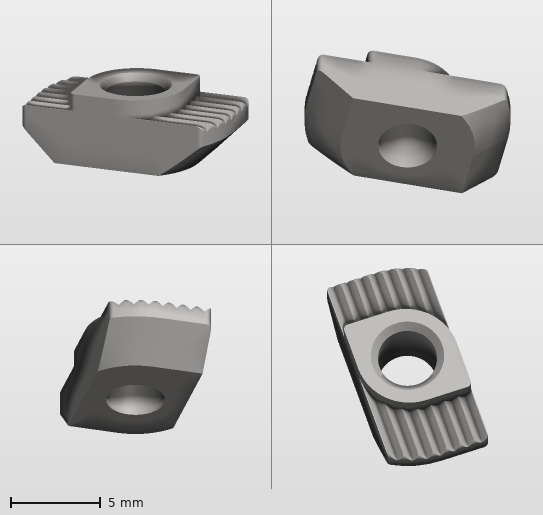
import cadquery as cq
import math

length = 11.5
width = 5.7
height = 4.2
boss_height = 1.0
wall_base = 2.0
corner_radius = 0.3
swing_corner_radius = 3.0

hole_radius = 1.65
countersink_radius = 2.05

valley_count = 7
edge_land = 0.05

flange_height = height - boss_height
end_radius = length / 2
half_width = width / 2
pitch = (width - 2 * edge_land) / valley_count
valley_depth = pitch / 2


def end_profile():
    """Half section of the flange: sloped underside, upright end, rounded top edge."""
    return (
        cq.Workplane("XZ")
        .lineTo(end_radius - wall_base, 0)
        .lineTo(end_radius, wall_base)
        .lineTo(end_radius, flange_height - corner_radius)
        .radiusArc((end_radius - corner_radius, flange_height), -corner_radius)
        .lineTo(0, flange_height)
        .close()
    )


def make_flange():
    """Two turned and two straight quarters, trimmed to the rounded plan outline."""
    turned = end_profile().revolve(360, (0, 0), (0, 1))
    straight_quarter = end_profile().extrude(-half_width)
    opposite_quarter = straight_quarter.rotate((0, 0, 0), (0, 0, 1), 180)
    blank = turned.union(straight_quarter).union(opposite_quarter)

    arc_end_x = math.sqrt(end_radius**2 - half_width**2)
    arc_middle_x = math.sqrt(end_radius**2 - (half_width / 2) ** 2)
    outline = (
        cq.Workplane("XY")
        .moveTo(end_radius, 0)
        .lineTo(end_radius, half_width)
        .lineTo(-arc_end_x, half_width)
        .threePointArc((-arc_middle_x, half_width / 2), (-end_radius, 0))
        .lineTo(-end_radius, -half_width)
        .lineTo(arc_end_x, -half_width)
        .threePointArc((arc_middle_x, -half_width / 2), (end_radius, 0))
        .close()
        .extrude(flange_height)
        .edges("|Z and (>Y or <Y)")
        .fillet(corner_radius)
    )
    return blank.intersect(outline)


def cut_serrations(flange):
    """Cut a row of V-shaped valleys across the whole length."""
    for index in range(valley_count):
        valley_y = (index - (valley_count - 1) / 2) * pitch
        valley = (
            cq.Workplane("YZ")
            .moveTo(valley_y - pitch / 2, flange_height)
            .lineTo(valley_y, flange_height - valley_depth)
            .lineTo(valley_y + pitch / 2, flange_height)
            .close()
            .extrude(end_radius, both=True)
        )
        flange = flange.cut(valley)
    return flange


def make_boss():
    """Square boss with two small and two wide rounded corners, reaching down to the valley bottoms."""
    base = flange_height - valley_depth
    return (
        cq.Workplane("XY")
        .workplane(offset=base)
        .rect(width, width)
        .extrude(height - base)
        .edges("|Z and (<(1,1,0) or >(1,1,0))")
        .fillet(corner_radius)
        .edges("|Z and (<(1,-1,0) or >(1,-1,0))")
        .fillet(swing_corner_radius)
    )


def make_hole():
    """Turned cutter for the through hole and its countersink."""
    countersink_depth = countersink_radius - hole_radius
    return (
        cq.Workplane("XZ")
        .lineTo(hole_radius, 0)
        .lineTo(hole_radius, height - countersink_depth)
        .lineTo(countersink_radius, height)
        .lineTo(0, height)
        .close()
        .revolve(360, (0, 0), (0, 1))
    )


result = cut_serrations(make_flange()).union(make_boss()).cut(make_hole())